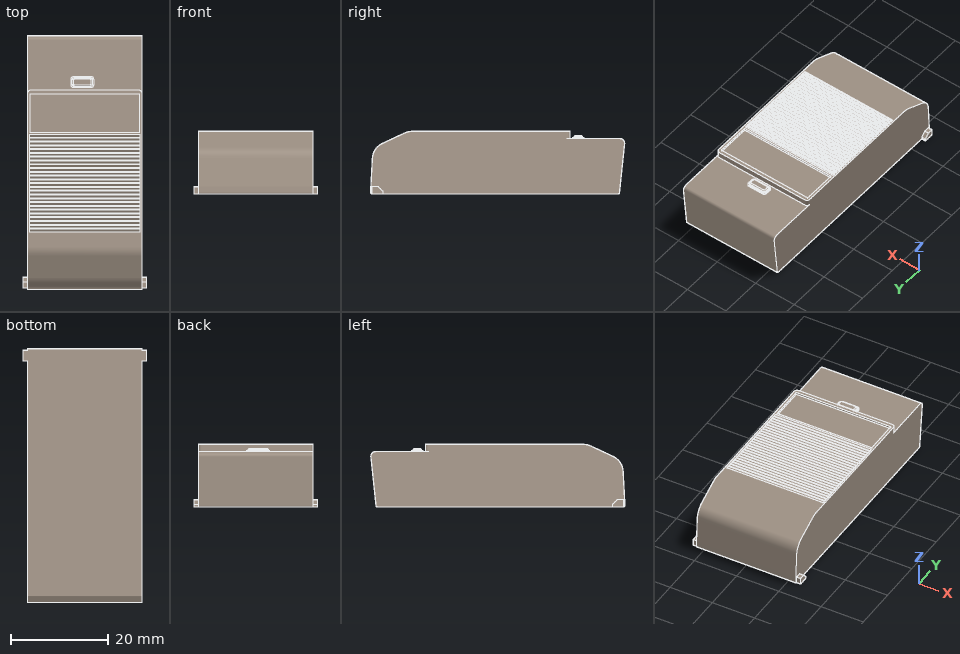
import cadquery as cq
import math

body_width = 23.55
body_length = 52.15
body_height = 12.9
base_edge_radius = 0.25

foot_height = 1.5
nose_lean = math.radians(3)
slope_angle = math.radians(25)
slope_top_y = 7.73
nose_radius = 3.6
slope_top_radius = 4.0

deck_height = 11.4
step_y = 40.95
step_corner_radius = 0.7
back_lean = math.radians(6)
back_edge_radius = 1.0

total_width = 25.45
tab_front_y = 0.3
tab_length = 2.25
tab_chamfer = 1.0

recess_width = 22.4
recess_length = 7.85
recess_depth = 0.5
recess_back_y = 40.15

grille_width = 22.7
grille_length = 20.0
grille_back_y = 31.85
groove_count = 26
groove_land = 0.2
groove_depth = 0.325
groove_pitch = (grille_length + groove_land) / groove_count
groove_length = groove_pitch - groove_land

button_x = -0.5
button_y = 42.6
flange_width = 4.7
flange_length = 2.3
flange_height = 0.15
flange_corner_radius = 0.6
flange_rim = 0.2
cap_corner_radius = 0.6
cap_height = 0.65
cap_taper_degrees = 8
cap_bevel = 0.25
cap_bevel_drop = 0.2


def side_prism(points, width):
    """Extrude a (Y, Z) outline along X, centred on the middle of the part."""
    return cq.Workplane("YZ").polyline(points).close().extrude(width / 2, both=True)


def make_body():
    wall_run = math.tan(nose_lean)
    slope_rise = math.tan(slope_angle)
    slope_foot_z = body_height - slope_top_y * slope_rise
    corner_y = (slope_foot_z - foot_height) * wall_run / (1 - wall_run * slope_rise)
    corner_z = slope_foot_z + corner_y * slope_rise

    back_overrun = back_edge_radius * ((1 + math.sin(back_lean)) / math.cos(back_lean) - 1)
    back_top_y = body_length + back_overrun
    back_base_y = back_top_y - deck_height * math.tan(back_lean)

    outline = [
        (0, 0),
        (0, foot_height),
        (corner_y, corner_z),
        (slope_top_y, body_height),
        (step_y, body_height),
        (step_y, deck_height),
        (back_top_y, deck_height),
        (back_base_y, 0),
    ]
    body = side_prism(outline, body_width)

    def round_cross_edge(solid, y, z, radius):
        edge = cq.selectors.NearestToPointSelector((0, y, z))
        return solid.edges("|X").edges(edge).fillet(radius)

    body = round_cross_edge(body, corner_y, corner_z, nose_radius)
    body = round_cross_edge(body, slope_top_y, body_height, slope_top_radius)
    body = round_cross_edge(body, back_top_y, deck_height, back_edge_radius)
    body = round_cross_edge(body, 0, 0, base_edge_radius)
    body = round_cross_edge(body, back_base_y, 0, base_edge_radius)
    return body.edges("|Z").edges(">Y").fillet(step_corner_radius)


def make_tabs():
    tab_back_y = tab_front_y + tab_length
    outline = [
        (tab_front_y, 0),
        (tab_front_y, foot_height),
        (tab_back_y - tab_chamfer, foot_height),
        (tab_back_y, foot_height - tab_chamfer),
        (tab_back_y, 0),
    ]
    return side_prism(outline, total_width)


def make_recess():
    return (
        cq.Workplane("XY", origin=(0, recess_back_y - recess_length / 2, body_height))
        .rect(recess_width, recess_length)
        .extrude(-recess_depth)
    )


def make_groove(back_y):
    front_y = back_y - groove_length
    outline = [
        (back_y, body_height),
        (front_y, body_height),
        (front_y, body_height - groove_depth),
    ]
    return side_prism(outline, grille_width)


def rounded_block(width, length, height, corner_radius, taper_degrees=0):
    """A block on the lower deck at the button's place, with rounded upright corners."""
    outline = cq.Sketch().rect(width, length).vertices().fillet(corner_radius)
    deck = cq.Workplane("XY", origin=(button_x, button_y, deck_height))
    return deck.placeSketch(outline).extrude(height, taper=taper_degrees)


def make_button():
    flange = rounded_block(flange_width, flange_length, flange_height, flange_corner_radius)
    cap = rounded_block(
        flange_width - 2 * flange_rim,
        flange_length - 2 * flange_rim,
        cap_height,
        cap_corner_radius,
        cap_taper_degrees,
    )
    cap = cap.faces(">Z").chamfer(cap_bevel_drop, cap_bevel)
    return flange.union(cap)


result = make_body().union(make_tabs()).cut(make_recess())
for index in range(groove_count):
    result = result.cut(make_groove(grille_back_y - index * groove_pitch))
result = result.union(make_button())